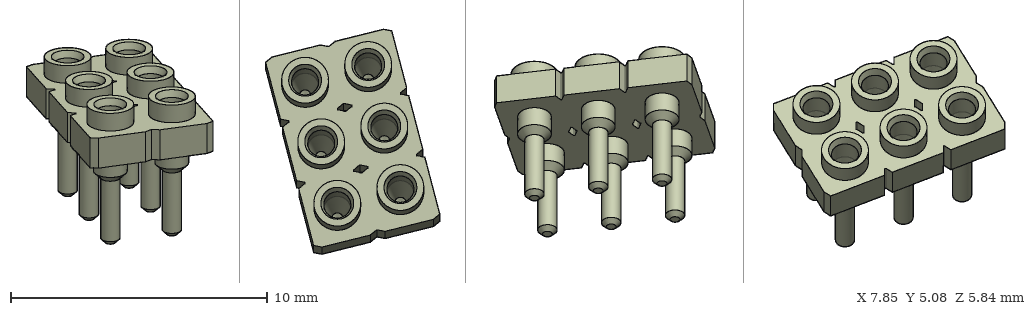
import cadquery as cq

column_count = 3
row_count = 2
pitch = 2.5395

plate_length = 7.85
plate_width = row_count * pitch
plate_height = 1.27
notch_half_width = 0.165
notch_half_length = 0.34
notch_root_radius = 0.03
end_notch_depth = 0.14
end_notch_half_length = 0.3

head_diameter = 1.83
head_height = 0.745
shank_diameter = 1.32
shank_length = 0.8
tail_diameter = 0.76
tail_chamfer = 0.19
total_height = 5.84

mouth_diameter = 1.28
mouth_depth = 0.28
bore_diameter = 1.05
bore_depth = 1.1
throat_diameter = 0.44
throat_depth = 2.67
socket_tip_height = 0.11
socket_floor_diameter = 0.06

head_top = plate_height + head_height
pin_bottom = head_top - total_height
shank_bottom = -shank_length
taper_bottom = shank_bottom - (shank_diameter - tail_diameter) / 2
tail_chamfer_top = pin_bottom + tail_chamfer


def grid_positions(count):
    """Evenly spaced places along one axis, centred on zero."""
    return [(index - (count - 1) / 2) * pitch for index in range(count)]


column_places = grid_positions(column_count)
row_places = grid_positions(row_count)
pin_places = [(x, y) for x in column_places for y in row_places]


def diamond(x, y, half_width, half_length):
    """Upright diamond prism through the full height of the plate."""
    return (
        cq.Workplane("XY")
        .moveTo(x - half_width, y)
        .lineTo(x, y + half_length)
        .lineTo(x + half_width, y)
        .lineTo(x, y - half_length)
        .close()
        .extrude(plate_height)
    )


def column_notch(x, y):
    """Cutter between two columns, with its two Y corners rounded."""
    cutter = diamond(x, y, notch_half_width, notch_half_length)
    return cutter.edges("|Z").edges("<Y or >Y").fillet(notch_root_radius)


def end_notch(x, y):
    """Sharp cutter on a short side of the plate."""
    return diamond(x, y, end_notch_depth, end_notch_half_length)


def make_housing():
    """Notched plate with one plain hole for each pin shank."""
    plate = cq.Workplane("XY").box(plate_length, plate_width, plate_height, centered=(True, True, False))
    notch_rows = grid_positions(row_count + 1)
    notch_columns = grid_positions(column_count - 1)
    for y in notch_rows:
        for x in notch_columns:
            plate = plate.cut(column_notch(x, y))
        for x in (-plate_length / 2, plate_length / 2):
            plate = plate.cut(end_notch(x, y))
    holes = cq.Workplane("XY").pushPoints(pin_places).circle(shank_diameter / 2).extrude(plate_height)
    return plate.cut(holes)


def make_pin(x, y):
    """Turned socket pin: half profile in the XZ plane, revolved about Z."""
    profile = (
        cq.Workplane("XZ")
        .moveTo(0, pin_bottom)
        .lineTo(tail_diameter / 2 - tail_chamfer, pin_bottom)
        .lineTo(tail_diameter / 2, tail_chamfer_top)
        .lineTo(tail_diameter / 2, taper_bottom)
        .lineTo(shank_diameter / 2, shank_bottom)
        .lineTo(shank_diameter / 2, plate_height)
        .lineTo(head_diameter / 2, plate_height)
        .lineTo(head_diameter / 2, head_top)
        .lineTo(mouth_diameter / 2, head_top)
        .lineTo(bore_diameter / 2, head_top - mouth_depth)
        .lineTo(bore_diameter / 2, head_top - bore_depth)
        .lineTo(throat_diameter / 2, head_top - throat_depth)
        .lineTo(socket_floor_diameter / 2, head_top - throat_depth - socket_tip_height)
        .lineTo(0, head_top - throat_depth - socket_tip_height)
        .close()
    )
    return profile.revolve(360, (0, 0, 0), (0, 1, 0)).translate((x, y, 0))


housing = make_housing()
pins = [make_pin(x, y) for x, y in pin_places]

result = cq.Compound.makeCompound([housing.val(), *[pin.val() for pin in pins]])